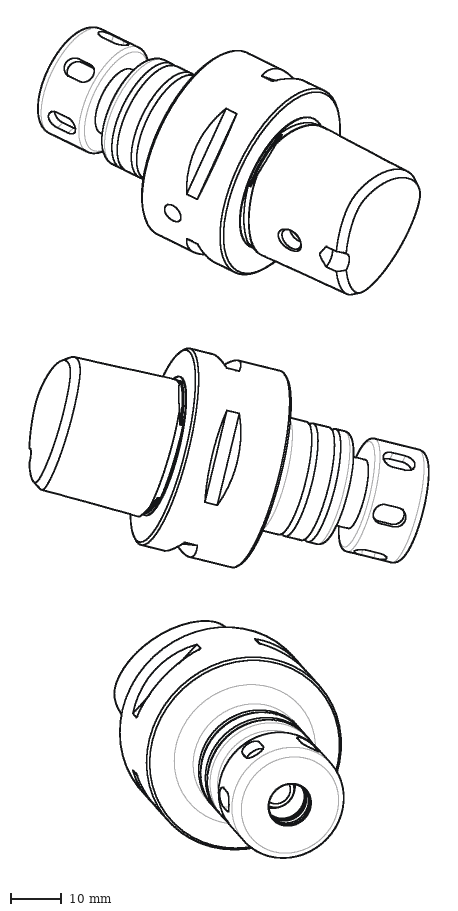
import math

import cadquery as cq


SHANK_LENGTH = 24.0
FLANGE_LENGTH = 20.0
FRONT_LENGTH = 32.0
FLANGE_FRONT_X = -FLANGE_LENGTH
NUT_FRONT_X = FLANGE_FRONT_X - FRONT_LENGTH

NUT_RADIUS = 11.5
NUT_LENGTH = 11.5
NUT_FRONT_FILLET = 1.5
NUT_REAR_FILLET = 0.8
NECK_RADIUS = 7.0
NECK_LENGTH = 4.3

COLLAR_RADIUS = 11.5
COLLAR_FRONT_X = NUT_FRONT_X + NUT_LENGTH + NECK_LENGTH
COLLAR_FILLET = 1.2
COLLAR_ROOT_FILLET = 3.0
RING_GROOVE_WIDTH = 1.3
RING_GROOVE_DEPTH = 0.3
RING_GROOVE_OFFSETS = (3.7, 8.45)

FLANGE_RADIUS = 20.0
FLANGE_CHAMFER = 0.5
GRIPPER_GROOVE_X = -8.0
GRIPPER_FLOOR_DISTANCE = 17.7
GRIPPER_FLOOR_WIDTH = 2.6
GRIPPER_FLANK_ANGLE = 30.0
GRIPPER_DIRECTIONS = (45, 135, 225, 315)

WRENCH_SLOT_COUNT = 6
WRENCH_SLOT_LENGTH = 6.6
WRENCH_SLOT_WIDTH = 4.0
WRENCH_SLOT_X = NUT_FRONT_X + 6.65
WRENCH_SLOT_FLOOR = 9.5

SHANK_MEAN_RADIUS = 14.07
LOBE_HEIGHT = 1.0
LOBE_COUNT = 3
TAPER_PER_LENGTH = 1 / 40
TIP_CHAMFER_LENGTH = 1.65
TIP_CHAMFER_DROP = 1.1
SECTION_POINTS = 36

RELIEF_LENGTH = 1.4
RELIEF_STEP = 0.12
RELIEF_RING_LENGTH = 0.15
RELIEF_RING_RADIUS = 14.1
RELIEF_FLOOR_RADIUS = 13.8
RELIEF_FLOOR_START = 0.45
RELIEF_FLOOR_END = 0.75

DRILL_HALF_ANGLE = 59.0
CUT_OVERSHOOT = 1.0
FLANGE_HOLE_X = -12.05
FLANGE_HOLE_DIAMETER = 4.0
FLANGE_HOLE_DEPTH = 4.0
SHANK_HOLE_X = 11.35
SHANK_HOLE_DIAMETER = 4.6
SHANK_HOLE_MOUTH_DIAMETER = 5.5
SHANK_HOLE_DEPTH = 3.0
KEYWAY_DIAMETER = 5.5
KEYWAY_AXIS_Y = -13.0
KEYWAY_LENGTH = 4.1

MOUTH_RADIUS = 4.4
LIP_RADIUS = 4.2
LIP_CHAMFER_DEPTH = 0.3
LIP_DEPTH = 1.2
BORE_RADIUS = 4.15
FRONT_GROOVE_RADIUS = 6.0
FRONT_GROOVE_END = 2.5
REAR_GROOVE_START = 3.3
REAR_GROOVE_RADIUS = 5.5
REAR_GROOVE_END = 4.0
BORE_DEPTH = 9.0
BORE_FLOOR_RADIUS = 3.5
BORE_RIM_DROP = 1.5
CENTRE_CONE_RADIUS = 2.75
PILOT_RADIUS = 1.0
CENTRE_CONE_HALF_ANGLE = 30.0
PILOT_DEPTH = 3.0


def drill_point_length(radius):
    return radius / math.tan(math.radians(DRILL_HALF_ANGLE))


def revolve_about_x(profile):
    return profile.close().revolve(360, (0, 0, 0), (1, 0, 0))


def make_turned_body():
    """Nut, neck, collar and flange as one turned profile."""
    nut_rear_x = NUT_FRONT_X + NUT_LENGTH
    root_arc_reach = COLLAR_ROOT_FILLET * math.sqrt(0.5)
    profile = (
        cq.Workplane("XY")
        .moveTo(NUT_FRONT_X, 0)
        .lineTo(NUT_FRONT_X, NUT_RADIUS - NUT_FRONT_FILLET)
        .radiusArc((NUT_FRONT_X + NUT_FRONT_FILLET, NUT_RADIUS), NUT_FRONT_FILLET)
        .lineTo(nut_rear_x - NUT_REAR_FILLET, NUT_RADIUS)
        .radiusArc((nut_rear_x, NUT_RADIUS - NUT_REAR_FILLET), NUT_REAR_FILLET)
        .lineTo(nut_rear_x, NECK_RADIUS)
        .lineTo(COLLAR_FRONT_X, NECK_RADIUS)
        .lineTo(COLLAR_FRONT_X, COLLAR_RADIUS - COLLAR_FILLET)
        .radiusArc((COLLAR_FRONT_X + COLLAR_FILLET, COLLAR_RADIUS), COLLAR_FILLET)
    )
    for offset in RING_GROOVE_OFFSETS:
        groove_x = COLLAR_FRONT_X + offset
        profile = profile.lineTo(groove_x - RING_GROOVE_WIDTH / 2, COLLAR_RADIUS).threePointArc(
            (groove_x, COLLAR_RADIUS - RING_GROOVE_DEPTH),
            (groove_x + RING_GROOVE_WIDTH / 2, COLLAR_RADIUS),
        )
    root_x = FLANGE_FRONT_X - COLLAR_ROOT_FILLET
    root_radius = COLLAR_RADIUS + COLLAR_ROOT_FILLET
    profile = (
        profile.lineTo(root_x, COLLAR_RADIUS)
        .threePointArc(
            (root_x + root_arc_reach, root_radius - root_arc_reach),
            (FLANGE_FRONT_X, root_radius),
        )
        .lineTo(FLANGE_FRONT_X, FLANGE_RADIUS - FLANGE_CHAMFER)
        .lineTo(FLANGE_FRONT_X + FLANGE_CHAMFER, FLANGE_RADIUS)
        .lineTo(-FLANGE_CHAMFER, FLANGE_RADIUS)
        .lineTo(0, FLANGE_RADIUS - FLANGE_CHAMFER)
        .lineTo(0, 0)
    )
    return revolve_about_x(profile)


def shank_section(x, mean_radius):
    """Closed constant-width curve in the plane at x, starting on the -Y side."""

    def point(t):
        angle = 2 * math.pi * t - math.pi
        support = mean_radius + LOBE_HEIGHT * math.cos(LOBE_COUNT * angle)
        slope = -LOBE_COUNT * LOBE_HEIGHT * math.sin(LOBE_COUNT * angle)
        y = support * math.cos(angle) - slope * math.sin(angle)
        z = support * math.sin(angle) + slope * math.cos(angle)
        return (y, z)

    points = [cq.Vector(x, *point(index / SECTION_POINTS)) for index in range(SECTION_POINTS)]
    return cq.Wire.assembleEdges([cq.Edge.makeSpline(points, periodic=True)])


def shank_loft(start, end):
    """Solid between two (x, mean radius) sections."""
    wires = [shank_section(*start), shank_section(*end)]
    return cq.Workplane(cq.Solid.makeLoft(wires, True))


def shank_radius(x):
    return SHANK_MEAN_RADIUS - TAPER_PER_LENGTH * x


def make_shank():
    taper_end_x = SHANK_LENGTH - TIP_CHAMFER_LENGTH
    taper_end_radius = shank_radius(taper_end_x)
    relief_radius = shank_radius(RELIEF_LENGTH) - RELIEF_STEP
    relief = shank_loft((0, relief_radius), (RELIEF_LENGTH, relief_radius))
    taper = shank_loft((RELIEF_LENGTH, shank_radius(RELIEF_LENGTH)), (taper_end_x, taper_end_radius))
    tip = shank_loft((taper_end_x, taper_end_radius), (SHANK_LENGTH, taper_end_radius - TIP_CHAMFER_DROP))
    lobed = relief.union(taper).union(tip)

    envelope_radius = FLANGE_RADIUS
    envelope = revolve_about_x(
        cq.Workplane("XY")
        .moveTo(0, 0)
        .lineTo(0, RELIEF_RING_RADIUS)
        .lineTo(RELIEF_RING_LENGTH, RELIEF_RING_RADIUS)
        .lineTo(RELIEF_FLOOR_START, RELIEF_FLOOR_RADIUS)
        .lineTo(RELIEF_FLOOR_END, RELIEF_FLOOR_RADIUS)
        .lineTo(RELIEF_FLOOR_END + envelope_radius - RELIEF_FLOOR_RADIUS, envelope_radius)
        .lineTo(SHANK_LENGTH, envelope_radius)
        .lineTo(SHANK_LENGTH, 0)
    )
    ring = cq.Workplane("YZ").circle(RELIEF_RING_RADIUS).extrude(RELIEF_RING_LENGTH)
    return lobed.intersect(envelope).union(ring)


def cut_gripper_grooves(body):
    depth = FLANGE_RADIUS - GRIPPER_FLOOR_DISTANCE
    half_floor = GRIPPER_FLOOR_WIDTH / 2
    half_mouth = half_floor + depth * math.tan(math.radians(GRIPPER_FLANK_ANGLE))
    groove = (
        cq.Workplane("XZ")
        .moveTo(GRIPPER_GROOVE_X - half_floor, GRIPPER_FLOOR_DISTANCE)
        .lineTo(GRIPPER_GROOVE_X + half_floor, GRIPPER_FLOOR_DISTANCE)
        .lineTo(GRIPPER_GROOVE_X + half_mouth, FLANGE_RADIUS)
        .lineTo(GRIPPER_GROOVE_X - half_mouth, FLANGE_RADIUS)
        .close()
        .extrude(FLANGE_RADIUS, both=True)
    )
    for direction in GRIPPER_DIRECTIONS:
        body = body.cut(groove.rotate((0, 0, 0), (1, 0, 0), direction))
    return body


def cut_wrench_slots(body):
    slot = (
        cq.Workplane("XZ", origin=(WRENCH_SLOT_X, -WRENCH_SLOT_FLOOR, 0))
        .slot2D(WRENCH_SLOT_LENGTH, WRENCH_SLOT_WIDTH)
        .extrude(NUT_RADIUS)
    )
    for index in range(WRENCH_SLOT_COUNT):
        body = body.cut(slot.rotate((0, 0, 0), (1, 0, 0), index * 360 / WRENCH_SLOT_COUNT))
    return body


def cut_nut_bore(body):
    cone_slope = math.tan(math.radians(CENTRE_CONE_HALF_ANGLE))
    pilot_start = BORE_DEPTH + (CENTRE_CONE_RADIUS - PILOT_RADIUS) / cone_slope
    depths_and_radii = (
        (0, 0),
        (0, MOUTH_RADIUS),
        (LIP_CHAMFER_DEPTH, LIP_RADIUS),
        (LIP_DEPTH, LIP_RADIUS),
        (LIP_DEPTH, FRONT_GROOVE_RADIUS),
        (FRONT_GROOVE_END, FRONT_GROOVE_RADIUS),
        (FRONT_GROOVE_END, BORE_RADIUS),
        (REAR_GROOVE_START, BORE_RADIUS),
        (REAR_GROOVE_START, REAR_GROOVE_RADIUS),
        (REAR_GROOVE_END, REAR_GROOVE_RADIUS),
        (REAR_GROOVE_END, BORE_RADIUS),
        (BORE_DEPTH + BORE_RIM_DROP, BORE_RADIUS),
        (BORE_DEPTH, BORE_FLOOR_RADIUS),
        (BORE_DEPTH, CENTRE_CONE_RADIUS),
        (pilot_start, PILOT_RADIUS),
        (pilot_start + PILOT_DEPTH, PILOT_RADIUS),
        (pilot_start + PILOT_DEPTH, 0),
    )
    points = [(NUT_FRONT_X + depth, radius) for depth, radius in depths_and_radii]
    return body.cut(revolve_about_x(cq.Workplane("XY").polyline(points)))


def drilled_hole(radius, depth):
    """Drill shape along +X: straight from just outside X = 0 to depth, then a pointed end."""
    return revolve_about_x(
        cq.Workplane("XY")
        .moveTo(-CUT_OVERSHOOT, 0)
        .lineTo(-CUT_OVERSHOOT, radius)
        .lineTo(depth, radius)
        .lineTo(depth + drill_point_length(radius), 0)
    )


def cut_side_holes(body):
    """Blind holes drilled from -Y into the flange and the shank."""
    flange_hole = drilled_hole(FLANGE_HOLE_DIAMETER / 2, FLANGE_HOLE_DEPTH)
    flange_hole = flange_hole.rotate((0, 0, 0), (0, 0, 1), 90)
    body = body.cut(flange_hole.translate((FLANGE_HOLE_X, -FLANGE_RADIUS, 0)))

    shank_side_y = LOBE_HEIGHT - shank_radius(SHANK_HOLE_X)
    shank_hole = drilled_hole(SHANK_HOLE_DIAMETER / 2, SHANK_HOLE_DEPTH)
    mouth_radius = SHANK_HOLE_MOUTH_DIAMETER / 2
    countersink = revolve_about_x(
        cq.Workplane("XY")
        .moveTo(-CUT_OVERSHOOT, 0)
        .lineTo(-CUT_OVERSHOOT, mouth_radius + CUT_OVERSHOOT)
        .lineTo(mouth_radius, 0)
    )
    shank_hole = shank_hole.union(countersink).rotate((0, 0, 0), (0, 0, 1), 90)
    return body.cut(shank_hole.translate((SHANK_HOLE_X, shank_side_y, 0)))


def cut_tip_keyway(body):
    """Round-bottomed keyway along X, open at the shank tip, with a drill-point end."""
    keyway = drilled_hole(KEYWAY_DIAMETER / 2, KEYWAY_LENGTH)
    keyway = keyway.rotate((0, 0, 0), (0, 0, 1), 180)
    return body.cut(keyway.translate((SHANK_LENGTH, KEYWAY_AXIS_Y, 0)))


holder = make_turned_body().union(make_shank())
holder = cut_gripper_grooves(holder)
holder = cut_wrench_slots(holder)
holder = cut_nut_bore(holder)
holder = cut_side_holes(holder)
result = cut_tip_keyway(holder)